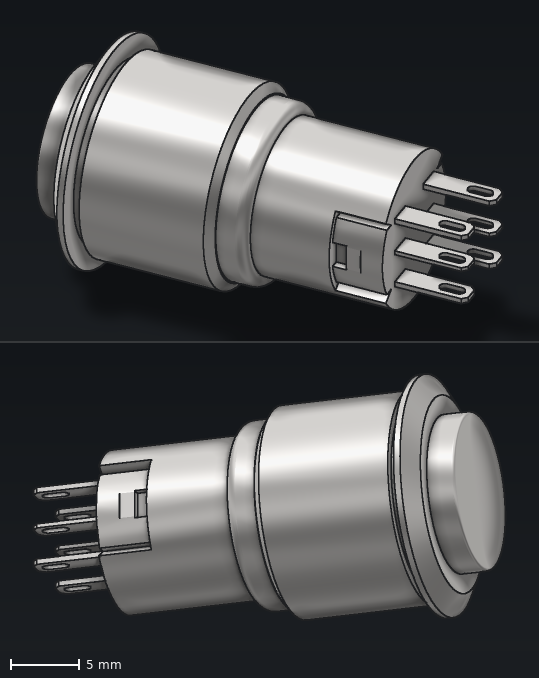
import cadquery as cq
import math

LENGTH = 33.6
BEZEL_FRONT = 2.15
BEZEL_RIM = 3.15
BEZEL_BACK = 3.65
BODY_FRONT = 4.47
BODY_CHAMFER = 14.48
COLLAR_FRONT = 15.1
COLLAR_BACK = 17.45
RECESS_FRONT = 23.8
HOUSING_BACK = 27.85

BUTTON_DIA = 11.8
BEZEL_FACE_DIA = 14.7
BEZEL_DIA = 18.0
NECK_DIA = 14.35
BODY_DIA = 15.9
BODY_END_DIA = 14.38
COLLAR_DIA = 14.15
HOUSING_DIA = 12.23

BUTTON_ROUND = 0.25
COLLAR_ROUND = 0.8

TONGUE_DIA = 11.22
RECESS_WIDTH = 7.02
TONGUE_WIDTH = 5.7

POCKET_WIDTH = 2.1
POCKET_BACK = 26.07
POCKET_FLOOR_Y = 4.87
BLOCK_FRONT = 24.9
BLOCK_FLAT_WIDTH = 1.9

PIN_WIDTH = 1.85
PIN_SPACING_Y = 4.97
PIN_SPACING_Z = 2.8
OUTER_PIN_THICK = 0.45
CENTRE_PIN_THICK = 0.35
PIN_TIP_CHAMFER = 0.4
EYE_LENGTH = 2.0
EYE_WIDTH = 0.85
EYE_CENTRE_X = 32.05
PIN_ROOT = 0.67


def box(x_min, x_max, y_min, y_max, z_size):
    """Box centred on Z = 0, given by its X and Y limits."""
    return (
        cq.Workplane("XY")
        .box(x_max - x_min, y_max - y_min, z_size, centered=(False, False, True))
        .translate((x_min, y_min, 0))
    )


def turned_body():
    """Button, bezel, body, collar and housing as one revolved profile about X."""
    mid_share = 1 - math.sqrt(0.5)
    button_mid = BUTTON_ROUND * mid_share
    collar_mid = COLLAR_ROUND * mid_share
    return (
        cq.Workplane("XY")
        .lineTo(0, BUTTON_DIA / 2 - BUTTON_ROUND)
        .threePointArc(
            (button_mid, BUTTON_DIA / 2 - button_mid),
            (BUTTON_ROUND, BUTTON_DIA / 2),
        )
        .lineTo(BEZEL_FRONT, BUTTON_DIA / 2)
        .lineTo(BEZEL_FRONT, BEZEL_FACE_DIA / 2)
        .lineTo(BEZEL_RIM, BEZEL_DIA / 2)
        .lineTo(BEZEL_BACK, BEZEL_DIA / 2)
        .lineTo(BEZEL_BACK, NECK_DIA / 2)
        .lineTo(BODY_FRONT, NECK_DIA / 2)
        .lineTo(BODY_FRONT, BODY_DIA / 2)
        .lineTo(BODY_CHAMFER, BODY_DIA / 2)
        .lineTo(COLLAR_FRONT, BODY_END_DIA / 2)
        .lineTo(COLLAR_FRONT, COLLAR_DIA / 2)
        .lineTo(COLLAR_BACK - COLLAR_ROUND, COLLAR_DIA / 2)
        .threePointArc(
            (COLLAR_BACK - collar_mid, COLLAR_DIA / 2 - collar_mid),
            (COLLAR_BACK, COLLAR_DIA / 2 - COLLAR_ROUND),
        )
        .lineTo(COLLAR_BACK, HOUSING_DIA / 2)
        .lineTo(HOUSING_BACK, HOUSING_DIA / 2)
        .lineTo(HOUSING_BACK, 0)
        .close()
        .revolve(360, (0, 0, 0), (1, 0, 0))
    )


def side_recess():
    """Cutter for the recess on the +Y side, with its latch pocket."""
    mouth_z = RECESS_WIDTH / 2
    tongue_z = TONGUE_WIDTH / 2
    mouth_y = math.sqrt((HOUSING_DIA / 2) ** 2 - mouth_z**2)
    tongue_y = math.sqrt((TONGUE_DIA / 2) ** 2 - tongue_z**2)
    groove_y = mouth_y * tongue_z / mouth_z
    recess = (
        cq.Workplane("YZ", origin=(RECESS_FRONT, 0, 0))
        .moveTo(tongue_y, -tongue_z)
        .threePointArc((TONGUE_DIA / 2, 0), (tongue_y, tongue_z))
        .lineTo(groove_y, tongue_z)
        .lineTo(mouth_y, mouth_z)
        .lineTo(HOUSING_DIA, mouth_z)
        .lineTo(HOUSING_DIA, -mouth_z)
        .lineTo(mouth_y, -mouth_z)
        .lineTo(groove_y, -tongue_z)
        .close()
        .extrude(HOUSING_BACK - RECESS_FRONT)
    )
    block_top_y = math.sqrt((TONGUE_DIA / 2) ** 2 - (BLOCK_FLAT_WIDTH / 2) ** 2)
    pocket = box(RECESS_FRONT, POCKET_BACK, POCKET_FLOOR_Y, HOUSING_DIA / 2, POCKET_WIDTH)
    block = box(BLOCK_FRONT, POCKET_BACK, POCKET_FLOOR_Y, block_top_y, POCKET_WIDTH)
    return recess.union(pocket.cut(block))


def terminal(y, z, thickness):
    """Flat solder terminal with a chamfered tip and an oblong eye."""
    root_x = HOUSING_BACK - PIN_ROOT
    blade = (
        cq.Workplane("XY")
        .box(LENGTH - root_x, PIN_WIDTH, thickness, centered=(False, True, True))
        .translate((root_x, 0, 0))
        .edges("|Z and >X")
        .chamfer(PIN_TIP_CHAMFER)
    )
    eye = (
        cq.Workplane("XY")
        .center(EYE_CENTRE_X, 0)
        .slot2D(EYE_LENGTH, EYE_WIDTH)
        .extrude(thickness, both=True)
    )
    return blade.cut(eye).translate((0, y, z))


result = turned_body()

recess = side_recess()
result = result.cut(recess).cut(recess.mirror("XZ"))

for y in (-PIN_SPACING_Y / 2, PIN_SPACING_Y / 2):
    result = result.union(terminal(y, 0, CENTRE_PIN_THICK))
    for z in (-PIN_SPACING_Z, PIN_SPACING_Z):
        result = result.union(terminal(y, z, OUTER_PIN_THICK))